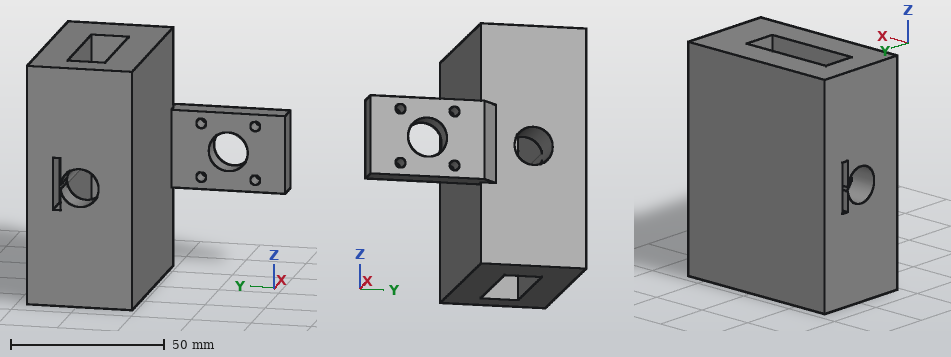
import cadquery as cq

BLOCK_LENGTH = 60.0
BLOCK_DEPTH = 35.0
BLOCK_HEIGHT = 80.0

POCKET_LENGTH = 34.9
POCKET_WIDTH = 12.5
POCKET_WALL = 9.8

BORE_DIAMETER = 12.7

SLOT_WIDTH = 2.6
SLOT_HEIGHT = 17.5
SLOT_RISE = 1.0
SLOT_DEPTH = POCKET_WALL
SLOT_OFFSET = 6.3

PLATE_THICKNESS = 8.0
PLATE_REACH = 37.9
PLATE_HEIGHT = 26.1
PLATE_OVERHANG = 5.0

PLATE_BORE_DIAMETER = 13.0
SCREW_HOLE_DIAMETER = 3.2
SCREW_SPACING = 18.0

block_right = BLOCK_LENGTH / 2
block_left = -block_right
block_front = -BLOCK_DEPTH / 2
plate_left = block_right + PLATE_OVERHANG - PLATE_THICKNESS
plate_right = block_right + PLATE_OVERHANG
plate_front = block_front - PLATE_REACH
plate_bore_y = block_front - PLATE_REACH / 2


def hole_along_x(diameter, start_x, length, y, z):
    """Cylinder that runs toward +X from start_x."""
    return cq.Workplane("YZ", origin=(start_x, y, z)).circle(diameter / 2).extrude(length)


def make_block():
    """Upright block with a pocket through its height."""
    pocket_x = block_left + POCKET_WALL + POCKET_LENGTH / 2
    block = cq.Workplane("XY").box(BLOCK_LENGTH, BLOCK_DEPTH, BLOCK_HEIGHT)
    pocket = cq.Workplane("XY").box(POCKET_LENGTH, POCKET_WIDTH, BLOCK_HEIGHT)
    return block.cut(pocket.translate((pocket_x, 0, 0)))


def make_plate():
    """Mounting plate on the block's front right edge; its root tapers at 45 degrees into the +X face."""
    return (
        cq.Workplane("XY", origin=(0, 0, -PLATE_HEIGHT / 2))
        .moveTo(plate_left, plate_front)
        .lineTo(plate_right, plate_front)
        .lineTo(plate_right, block_front)
        .lineTo(block_right, block_front + PLATE_OVERHANG)
        .lineTo(block_right, block_front)
        .lineTo(plate_left, block_front)
        .close()
        .extrude(PLATE_HEIGHT)
    )


def make_slot():
    """Narrow slot in the -X face, as deep as the pocket wall, that just opens into the bore's +Y side."""
    slot = cq.Workplane("XY").box(SLOT_DEPTH, SLOT_WIDTH, SLOT_HEIGHT)
    slot_y = SLOT_OFFSET + SLOT_WIDTH / 2
    return slot.translate((block_left + SLOT_DEPTH / 2, slot_y, SLOT_RISE))


def make_plate_holes():
    """Central bore and four screw holes on a square around it."""
    holes = hole_along_x(PLATE_BORE_DIAMETER, plate_left, PLATE_THICKNESS, plate_bore_y, 0)
    for side_y in (-1, 1):
        for side_z in (-1, 1):
            y = plate_bore_y + side_y * SCREW_SPACING / 2
            z = side_z * SCREW_SPACING / 2
            holes = holes.union(hole_along_x(SCREW_HOLE_DIAMETER, plate_left, PLATE_THICKNESS, y, z))
    return holes


block_bore = hole_along_x(BORE_DIAMETER, block_left, BLOCK_LENGTH, 0, 0)
result = make_block().union(make_plate())
result = result.cut(block_bore).cut(make_slot()).cut(make_plate_holes())